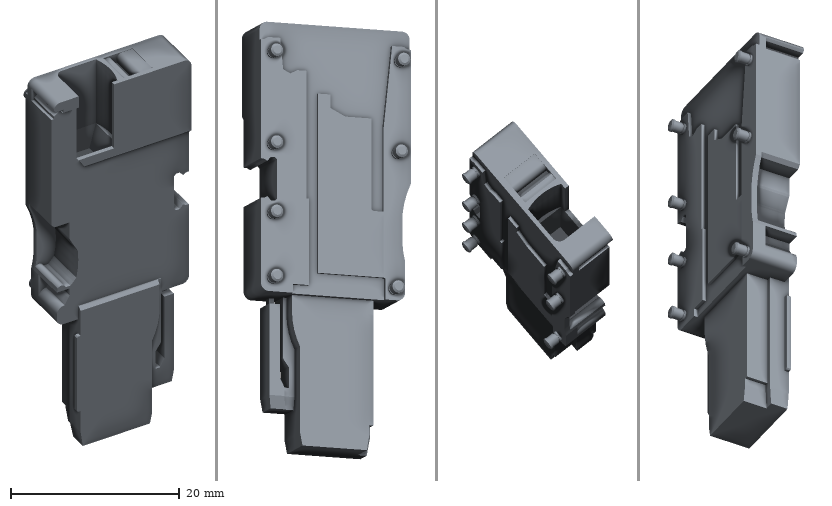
import cadquery as cq
import math


TOP_Z = 50.95
WIDTH = 19.0
OUTER_X = 6.55

PAD_HEIGHT = 0.45
CENTRE_PAD_HEIGHT = 0.4
HOUSING_X = 6.0
HOUSING_BOTTOM = 18.2
CORNER_R = 0.95
GRIP_Y = 1.05
FOOT_Y = 0.75
FOOT_TOP = 23.1

NOTCH_Z = 31.85
NOTCH_DEPTH = 2.05
NOTCH_MOUTH = 2.4
NOTCH_TEETH = 2.15
NOTCH_GROOVE = 2.65

GRIP_X = 0.75
LATCH_SLOT_X = 1.75
LIP_SLOT_X = 1.4

CAP_BOTTOM = 40.1
CAP_BEVEL = 0.4
CAP_SLOPE_Y = 1.0
LIP_BOTTOM = 49.3
LIP_WIDTH = 3.45
WINDOW_END_Y = 8.35
WINDOW_BOTTOM = 41.7

POCKET_X = (0.95, HOUSING_X)
POCKET_Y = (LIP_WIDTH, 9.1)
POCKET_FLOOR_X = (1.45, 4.95)
POCKET_FLOOR_Y = (5.0, 7.95)
POCKET_FLOOR_Z = 38.7
SCOOP_SAG = 0.45

RIBBED_X = (1.2, 5.95)
RIBBED_Y = (10.0, 14.0)
RIBBED_BACK_Z = 50.9
RIBBED_FRONT_Z = 50.75
RIBBED_BOTTOM_Z = 49.7
RIBBED_ROUND = 0.75
GROOVE_Y = (11.4, 11.8)

PEG_LENGTH = 1.85
PEG_R = 0.69
PEG_HEAD_R = 0.75
PEG_TIP_R = 0.5
PEG_TAPER = 0.15
PEG_HEAD_LENGTH = 0.4
PEG_GROOVE_R = 0.55
PEG_GROOVE = (0.25, 0.45)
PEG_BACK_Y = 17.6
PEG_UPPER_Z = 47.2
PEG_MIDDLE_Z = 36.0
PEG_POINTS = [
    (PEG_BACK_Y, PEG_UPPER_Z),
    (PEG_BACK_Y, PEG_MIDDLE_Z),
    (PEG_BACK_Y, 27.6),
    (PEG_BACK_Y, 19.8),
    (1.5, PEG_UPPER_Z),
    (1.8, PEG_MIDDLE_Z),
    (2.2, 19.5),
]

PLUG_X = 1.2
PLUG_STEP_X = 4.0
PLUG_TOP = 20.1
PLUG_TOP_BEVEL = 0.4
PLUG_STEP_Y = 4.35
PLUG_Y = 3.7
TAPER_Z = 2.15
TAPER = 0.3
NOSE_Y = 5.15
PLUG_BACK_Y = 13.6
PLUG_BACK_TAPER_Z = 1.55
PLUG_SHOULDER_Y = 14.6
FLANGE_X = (3.15, 6.1)
FLANGE_Y = 15.1
FLANGE_ROOT_Y = 10.2
JOINT_Y = 15.0
JOINT_Z = 7.3
FLANGE_BOTTOM = 4.7
FLANGE_BEVEL_Z = 6.2
FLANGE_BEVEL = 0.35
LATCH_X = (2.9, FLANGE_X[1])
LATCH_Y = (15.55, 16.85)
LATCH_TOP = 17.3
LATCH_BEVEL = 0.45
FINGER_Y = (15.85, 16.5)
FINGER_X = (4.1, 5.1)
FINGER_TOP = 19.35
KEY_Y = 3.2
KEY_Z = (5.2, 16.1)
KEY_BEVEL = 0.15


def block(x, y, z):
    """Box between pairs of coordinates."""
    size = (x[1] - x[0], y[1] - y[0], z[1] - z[0])
    return cq.Workplane("XY").box(*size, centered=False).translate((x[0], y[0], z[0]))


def side(x):
    """YZ sketch plane at the given X; extrusions from it run toward +X."""
    return cq.Workplane("YZ", origin=(x, 0, 0))


def slab(points, x):
    """Prism of a YZ polygon between two X values."""
    return side(x[0]).polyline(points).close().extrude(x[1] - x[0])


def edge_trim(x):
    """Housing silhouette: rounded corners and a thumb hollow in the -Y edge."""
    corner = CORNER_R * (1 - math.sqrt(0.5))
    low = HOUSING_BOTTOM
    return (
        side(x[0])
        .moveTo(CORNER_R, TOP_Z)
        .lineTo(WIDTH - CORNER_R, TOP_Z)
        .threePointArc((WIDTH - corner, TOP_Z - corner), (WIDTH, TOP_Z - CORNER_R))
        .lineTo(WIDTH, low + CORNER_R)
        .threePointArc((WIDTH - corner, low + corner), (WIDTH - CORNER_R, low))
        .lineTo(FOOT_Y + CORNER_R, low)
        .threePointArc((FOOT_Y + corner, low + corner), (FOOT_Y, low + CORNER_R))
        .lineTo(FOOT_Y, FOOT_TOP)
        .threePointArc((0.95, 24.05), (GRIP_Y, 25.0))
        .lineTo(GRIP_Y, 28.75)
        .threePointArc((0.65, 30.75), (0, 32.5))
        .lineTo(0, TOP_Z - CORNER_R)
        .threePointArc((corner, TOP_Z - corner), (CORNER_R, TOP_Z))
        .close()
        .extrude(x[1] - x[0])
    )


def raised_pads():
    """Pads along both long edges and in the centre of the -X plate."""
    low = HOUSING_BOTTOM
    back = slab(
        [
            (WIDTH, 48.7), (18.55, 48.75), (18.1, 49.0), (16.55, 49.0), (16.2, 45.25), (15.3, 44.8),
            (14.4, 45.25), (13.25, 45.25), (13.25, 29.75), (12.95, 29.75), (12.95, 19.25), (15.0, 19.25),
            (15.0, low), (WIDTH, low),
        ],
        (0, PAD_HEIGHT),
    )
    front = slab(
        [
            (0, 48.7), (0.5, 48.75), (0.9, 49.0), (2.4, 49.0), (3.45, 39.05), (3.45, 20.85),
            (3.25, 20.75), (3.25, low), (0, low),
        ],
        (0, PAD_HEIGHT),
    )
    centre = slab(
        [
            (11.75, 42.6), (10.2, 42.6), (10.2, 40.95), (8.3, 40.05), (5.0, 40.05), (5.0, 29.0),
            (4.7, 28.85), (3.45, 28.85), (3.45, 20.85), (11.75, 20.85),
        ],
        (PAD_HEIGHT - CENTRE_PAD_HEIGHT, PAD_HEIGHT),
    )
    return back.union(front).intersect(edge_trim((0, PAD_HEIGHT))).union(centre)


def cap():
    """Thicker top of the +X face, with a bevelled lower end, and the overhanging lip."""
    x = (HOUSING_X, OUTER_X)
    sheet = slab(
        [
            (LIP_WIDTH, TOP_Z), (WIDTH, TOP_Z), (WIDTH, CAP_BOTTOM),
            (LIP_WIDTH + CAP_SLOPE_Y, CAP_BOTTOM), (LIP_WIDTH, WINDOW_BOTTOM),
        ],
        x,
    )
    sheet = sheet.faces("<Z").edges(">X").chamfer(CAP_BEVEL)
    lip = block(x, (0, LIP_WIDTH), (LIP_BOTTOM, TOP_Z))
    return sheet.union(lip).intersect(edge_trim(x))


def back_notch():
    """Toothed notch through the +Y edge, symmetric about its middle height."""
    inner = WIDTH - NOTCH_DEPTH
    upper = [
        (WIDTH, NOTCH_MOUTH), (WIDTH - 0.45, NOTCH_MOUTH - 0.05), (WIDTH - 0.8, NOTCH_TEETH),
        (WIDTH - 1.25, NOTCH_GROOVE), (inner + 0.25, NOTCH_GROOVE), (inner, NOTCH_MOUTH),
    ]
    lower = [(y, -z) for y, z in reversed(upper)]
    points = [(y, NOTCH_Z + z) for y, z in upper + lower]
    return slab(points, (0, OUTER_X))


def thumb_recess():
    """Scoop behind the hollow, undercut at the top, with a finger rib along its lower edge."""
    return (
        side(GRIP_X)
        .moveTo(0, 33.1)
        .lineTo(0.45, 32.65)
        .lineTo(2.55, 32.65)
        .lineTo(2.55, 30.25)
        .lineTo(2.65, 29.95)
        .lineTo(3.55, 28.35)
        .lineTo(3.65, 28.05)
        .threePointArc((3.7, 26.25), (3.45, 24.3))
        .lineTo(3.05, 23.85)
        .lineTo(2.65, 23.45)
        .lineTo(2.0, 23.45)
        .threePointArc((1.45, 23.9), (0.85, 23.6))
        .lineTo(0, 23.6)
        .close()
        .extrude(OUTER_X - GRIP_X)
    )


def latch_slot():
    """Slot between the finger rib and the rounded foot."""
    return (
        side(LATCH_SLOT_X)
        .moveTo(0, FOOT_TOP)
        .lineTo(2.55, FOOT_TOP)
        .lineTo(2.55, 22.05)
        .lineTo(2.35, 21.75)
        .lineTo(1.85, 20.9)
        .threePointArc((1.1, 20.6), (FOOT_Y, 19.85))
        .lineTo(0, 19.85)
        .close()
        .extrude(OUTER_X - LATCH_SLOT_X)
    )


def lip_slot():
    """Undercut that frees the lip at the top of the -Y face."""
    points = [(0, 50.15), (0.25, 49.8), (1.3, 49.8), (1.3, 49.35), (0.35, 48.75), (0.35, 48.4), (0, 48.4)]
    return slab(points, (LIP_SLOT_X, OUTER_X))


def top_pocket():
    """Pocket with upright walls above and tapering walls below, scooped on its +Y side."""
    def outline(x, y, z):
        plane = cq.Workplane("XY", origin=(sum(x) / 2, sum(y) / 2, z))
        return plane.rect(x[1] - x[0], y[1] - y[0])

    upper = block(POCKET_X, POCKET_Y, (WINDOW_BOTTOM, TOP_Z))
    upper = upper.edges("|Z and <X and <Y").fillet(CORNER_R)
    lower = (
        outline(POCKET_X, POCKET_Y, WINDOW_BOTTOM)
        .workplane(offset=POCKET_FLOOR_Z - WINDOW_BOTTOM)
        .center((sum(POCKET_FLOOR_X) - sum(POCKET_X)) / 2, (sum(POCKET_FLOOR_Y) - sum(POCKET_Y)) / 2)
        .rect(POCKET_FLOOR_X[1] - POCKET_FLOOR_X[0], POCKET_FLOOR_Y[1] - POCKET_FLOOR_Y[0])
        .loft()
    )
    chord = POCKET_X[1] - POCKET_X[0]
    scoop_r = (chord**2 / 4 + SCOOP_SAG**2) / (2 * SCOOP_SAG)
    scoop = (
        cq.Workplane("XY", origin=(sum(POCKET_X) / 2, POCKET_Y[1] + SCOOP_SAG - scoop_r, WINDOW_BOTTOM))
        .circle(scoop_r)
        .extrude(TOP_Z - WINDOW_BOTTOM)
        .intersect(block(POCKET_X, (POCKET_Y[1], WIDTH), (WINDOW_BOTTOM, TOP_Z)))
    )
    window = block((POCKET_X[1] - 0.5, OUTER_X), (LIP_WIDTH, WINDOW_END_Y), (WINDOW_BOTTOM, TOP_Z))
    return upper.union(lower).union(scoop).union(window)


def ribbed_recess():
    """Shallow recess in the top face: a rounded shoulder, a narrow groove and a sloped step."""
    front, back = RIBBED_Y
    groove_front, groove_back = GROOVE_Y
    round_mid = RIBBED_ROUND * (1 - math.sqrt(0.5))
    return (
        side(RIBBED_X[0])
        .moveTo(back, TOP_Z)
        .lineTo(back, RIBBED_BACK_Z)
        .lineTo(groove_back + RIBBED_ROUND, RIBBED_BACK_Z)
        .threePointArc(
            (groove_back + round_mid, RIBBED_BACK_Z - round_mid),
            (groove_back, RIBBED_BACK_Z - RIBBED_ROUND),
        )
        .lineTo(groove_back, RIBBED_BOTTOM_Z)
        .lineTo(groove_front, RIBBED_BOTTOM_Z)
        .lineTo(groove_front, 49.95)
        .lineTo(10.85, RIBBED_FRONT_Z)
        .lineTo(front, RIBBED_FRONT_Z)
        .lineTo(front, TOP_Z)
        .close()
        .extrude(RIBBED_X[1] - RIBBED_X[0])
    )


def peg(y, z):
    """Grooved peg with a slightly wider head, beveled at its tip, pointing toward -X."""
    groove_start, groove_end = PEG_GROOVE
    profile = [
        (PAD_HEIGHT, 0), (PAD_HEIGHT, PEG_R), (-groove_start, PEG_R), (-groove_start, PEG_GROOVE_R),
        (-groove_end, PEG_GROOVE_R), (-groove_end, PEG_R), (PEG_HEAD_LENGTH - PEG_LENGTH, PEG_R),
        (PEG_HEAD_LENGTH - PEG_LENGTH, PEG_HEAD_R), (PEG_TAPER - PEG_LENGTH, PEG_HEAD_R),
        (-PEG_LENGTH, PEG_TIP_R), (-PEG_LENGTH, 0),
    ]
    shape = cq.Workplane("XY").polyline(profile).close().revolve(360, (0, 0, 0), (1, 0, 0))
    return shape.translate((0, y, z))


def plug_core():
    """Front layer of the plug: curved shoulder at the back, lipped and tapered nose."""
    return (
        side(PLUG_X)
        .moveTo(PLUG_STEP_Y, PLUG_TOP)
        .lineTo(PLUG_SHOULDER_Y, PLUG_TOP)
        .lineTo(PLUG_SHOULDER_Y, 16.0)
        .threePointArc((14.3, 13.85), (PLUG_BACK_Y, 11.95))
        .lineTo(PLUG_BACK_Y, PLUG_BACK_TAPER_Z)
        .lineTo(PLUG_BACK_Y - TAPER, 0)
        .lineTo(NOSE_Y, 0)
        .lineTo(4.8, TAPER_Z)
        .lineTo(4.8, 3.05)
        .lineTo(PLUG_STEP_Y, 3.05)
        .close()
        .extrude(OUTER_X - PLUG_X)
    )


def plug_side():
    """Wider rear layer on the -Y side, with a tapered nose and a beveled inner corner."""
    layer = slab(
        [
            (PLUG_Y, PLUG_TOP), (PLUG_BACK_Y, PLUG_TOP), (PLUG_BACK_Y, PLUG_BACK_TAPER_Z),
            (PLUG_BACK_Y - TAPER, 0), (PLUG_Y + TAPER, 0), (PLUG_Y, TAPER_Z),
        ],
        (PLUG_STEP_X, OUTER_X),
    )
    wedge = (
        cq.Workplane("XZ", origin=(0, NOSE_Y, 0))
        .polyline([(PLUG_STEP_X, 0), (PLUG_STEP_X + TAPER, 0), (PLUG_STEP_X, TAPER_Z)])
        .close()
        .extrude(NOSE_Y)
    )
    return layer.cut(wedge)


def plug_flange():
    """Set-back flange on the +Y side that carries the latch."""
    flange = slab(
        [
            (FLANGE_ROOT_Y, PLUG_TOP), (FLANGE_Y, PLUG_TOP), (FLANGE_Y, 10.85), (14.3, 9.8),
            (14.3, JOINT_Z), (JOINT_Y, JOINT_Z), (JOINT_Y, FLANGE_BEVEL_Z),
            (JOINT_Y - TAPER, FLANGE_BOTTOM), (FLANGE_ROOT_Y, FLANGE_BOTTOM),
        ],
        FLANGE_X,
    )
    bevel = FLANGE_BEVEL_Z - FLANGE_BOTTOM
    return flange.faces("<Z").edges("<X").chamfer(FLANGE_BEVEL, bevel)


def plug_latch():
    """Springy arm that rises beside the flange and ends in a narrow finger."""
    inner, outer = LATCH_Y
    arm = slab(
        [
            (JOINT_Y - TAPER, FLANGE_BOTTOM), (JOINT_Y, FLANGE_BEVEL_Z), (JOINT_Y, JOINT_Z),
            (inner, 8.4), (inner, LATCH_TOP), (outer, LATCH_TOP), (outer, FLANGE_BEVEL_Z),
            (outer - TAPER, FLANGE_BOTTOM),
        ],
        LATCH_X,
    )
    bevel = FLANGE_BEVEL_Z - FLANGE_BOTTOM
    arm = arm.faces("<Z").edges("<X").chamfer(LATCH_BEVEL, bevel)
    return arm.union(block(FINGER_X, FINGER_Y, (LATCH_TOP, FINGER_TOP)))


def plug_key():
    """Raised key along the -Y side with beveled ends."""
    key = block((HOUSING_X, OUTER_X), (KEY_Y, PLUG_STEP_Y), KEY_Z)
    return key.edges("|X and <Y").chamfer(KEY_BEVEL)


def make_plug():
    """Plug body with its flange, latch and key."""
    body = plug_core().union(plug_side()).union(plug_flange())
    body = body.edges(">X and >Z").chamfer(PLUG_TOP_BEVEL)
    return body.union(plug_latch()).union(plug_key())


def make_housing(plug):
    """Housing with its pegs; the socket is the exact shape of the inserted plug end."""
    body = edge_trim((PAD_HEIGHT, HOUSING_X)).union(raised_pads()).union(cap())
    cuts = (back_notch(), thumb_recess(), latch_slot(), lip_slot(), top_pocket(), ribbed_recess())
    for cut in cuts:
        body = body.cut(cut)
    for y, z in PEG_POINTS:
        body = body.union(peg(y, z))
    return body.cut(plug)


plug = make_plug()
housing = make_housing(plug)
result = cq.Compound.makeCompound([*housing.solids().vals(), *plug.solids().vals()])